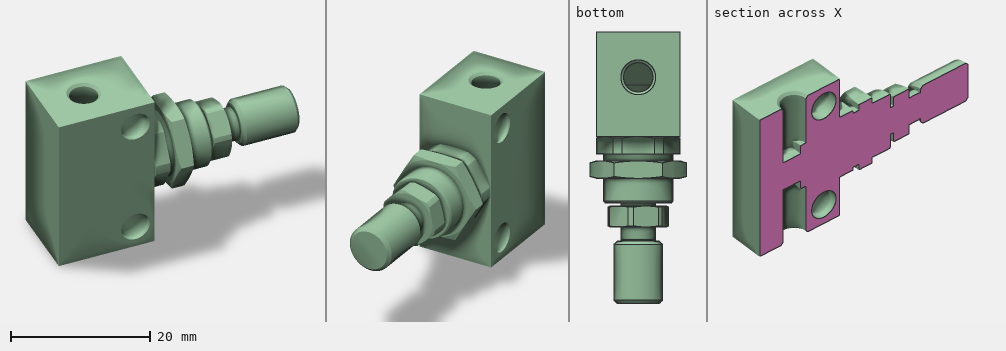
import cadquery as cq
import math


overall_length = 39

corner_to_flat_angle = 30

block_width = 12.0
block_depth = 15.0
block_height = 25.0

mount_hole_diameter = 4.5
mount_hole_setback = 3.0
mount_hole_spacing = 18.0

port_diameter = 4.2
port_mouth_diameter = 5.0
port_mouth_angle = 90
port_depth = 10.0
port_setback = 8.5

insert_diameter = 8.0
insert_length = 7.37

base_hex_flats = 11.0
base_hex_diameter = 11.95
base_hex_top = 2.5
base_hex_chamfer = 0.25

collar_diameter = 10.0
collar_top = 9.5
collar_chamfer = 0.25
panel_nut_flats = block_width
panel_nut_diameter = panel_nut_flats / math.cos(math.radians(corner_to_flat_angle))
panel_nut_bottom = 3.5
panel_nut_top = 6.0
panel_nut_chamfer = 0.27

spindle_diameter = 5.0
spindle_chamfer = 0.2
lock_nut_flats = 8.0
lock_nut_diameter = 8.8
lock_nut_bottom = 10.0
lock_nut_top = 13.0
lock_nut_chamfer = 0.15
lock_nut_turn = 16

knob_diameter = 7.02
knob_bottom = 15.0
knob_top = overall_length - block_depth
knob_chamfer = 0.5


def rod(diameter, bottom, top):
    """Round bar on the Y axis from Y = bottom to Y = top."""
    return cq.Workplane("XZ", origin=(0, bottom, 0)).circle(diameter / 2).extrude(bottom - top)


def hexagon(flats, diameter, bottom, top, bottom_chamfer, top_chamfer, turn=0):
    """Hexagon on the Y axis, its corners trimmed by a turned blank.

    The blank narrows to the inscribed circle at each chamfered end.
    The turn angle tips the upper flat from +Z towards -X.
    """
    prism = (
        cq.Workplane("XZ", origin=(0, bottom, 0))
        .polygon(6, flats, circumscribed=True)
        .extrude(bottom - top)
        .rotate((0, 0, 0), (0, 1, 0), corner_to_flat_angle - turn)
    )
    inner = flats / 2
    outer = diameter / 2
    blank_profile = [(0, bottom)]
    if bottom_chamfer:
        blank_profile.append((inner, bottom))
    blank_profile.append((outer, bottom + bottom_chamfer))
    blank_profile.append((outer, top - top_chamfer))
    if top_chamfer:
        blank_profile.append((inner, top))
    blank_profile.append((0, top))
    blank = cq.Workplane("XY").polyline(blank_profile).close().revolve(360, (0, 0, 0), (0, 1, 0))
    return prism.intersect(blank)


def make_block():
    block = cq.Workplane("XY").box(block_width, block_depth, block_height)
    block = block.translate((0, -block_depth / 2, 0))
    mount_holes = (
        cq.Workplane("YZ")
        .pushPoints([(-mount_hole_setback, side * mount_hole_spacing / 2) for side in (-1, 1)])
        .circle(mount_hole_diameter / 2)
        .extrude(block_width, both=True)
    )
    block = block.cut(mount_holes)
    for face in (">Z", "<Z"):
        block = (
            block.faces(face)
            .workplane(origin=(0, -port_setback, 0))
            .cskHole(port_diameter, port_mouth_diameter, port_mouth_angle, port_depth)
        )
    return block


def make_spindle_stack():
    insert = rod(insert_diameter, -insert_length, base_hex_top)
    base_hex = hexagon(base_hex_flats, base_hex_diameter, 0, base_hex_top, base_hex_chamfer, 0)
    collar = rod(collar_diameter, base_hex_top, collar_top).faces(">Y").chamfer(collar_chamfer)
    panel_nut = hexagon(
        panel_nut_flats, panel_nut_diameter, panel_nut_bottom, panel_nut_top,
        panel_nut_chamfer, panel_nut_chamfer,
    )
    spindle = rod(spindle_diameter, collar_top, knob_bottom).faces(">Y").chamfer(spindle_chamfer)
    lock_nut = hexagon(
        lock_nut_flats, lock_nut_diameter, lock_nut_bottom, lock_nut_top,
        lock_nut_chamfer, lock_nut_chamfer, lock_nut_turn,
    )
    knob = rod(knob_diameter, knob_bottom, knob_top).faces("<Y or >Y").chamfer(knob_chamfer)

    stack = insert
    for piece in (base_hex, collar, panel_nut, spindle, lock_nut, knob):
        stack = stack.union(piece)
    return stack


result = make_block().union(make_spindle_stack())